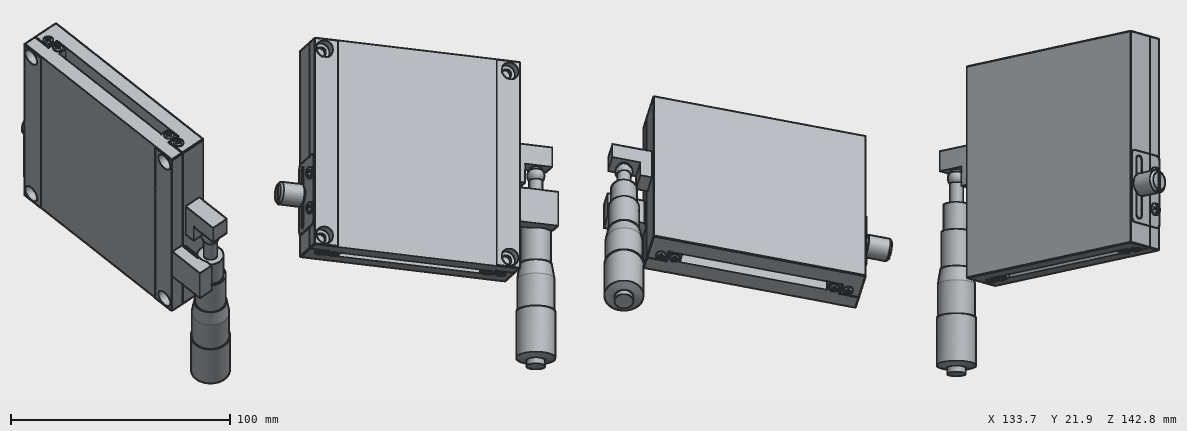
import cadquery as cq
import math


STAGE_SIZE = 100.0
STAGE_THICKNESS = 20.0
HALF = STAGE_SIZE / 2
EDGE_CHAMFER = 0.4

FRONT_LEDGE_Y = 6.5
FRONT_MIDDLE_Y = 7.7
FACE_RECESS = 0.4
FACE_RECESS_HALF = 38.5
RAIL_OUTER_X = 40.4
RAIL_INNER_X = 34.5
RAIL_TOP_Y = 12.0
BOLT_PITCH = 90.0
BOLT_HOLE_DIAMETER = 4.5
COUNTERBORE_DIAMETER = 8.0
COUNTERBORE_DEPTH = 4.7

LEG_BOTTOM_Y = 7.0
LEG_INNER_X = 41.1
CHANNEL_TOP_Y = 12.5

SCREW_RIM_SHARE = 0.3

END_SCREW_DIAMETER = 4.5
END_SCREW_HEIGHT = 1.1
END_SCREW_CROSS = (2.5, 0.7, 0.5)
END_SCREW_Y = 9.7
LEG_SCREW_X = 44.0
RAIL_SCREW_X = (RAIL_OUTER_X + RAIL_INNER_X) / 2

LOCK_PLATE_THICKNESS = 0.5
LOCK_PLATE_WIDTH = 18.8
LOCK_PLATE_LENGTH = 34.0
LOCK_PLATE_RADIUS = 1.9
LOCK_PLATE_Y = 10.0
LOCK_PLATE_Z = -22.8
LOCK_PLATE_FACE_X = -HALF - LOCK_PLATE_THICKNESS
LOCK_SLOT_WIDTH = 3.5
LOCK_SLOT_LENGTH = 29.7
LOCK_SCREW_DIAMETER = 5.5
LOCK_SCREW_HEIGHT = 2.0
LOCK_SCREW_CROSS = (4.0, 1.0, 1.0)
LOCK_SCREW_Y = 3.9
LOCK_SCREW_PITCH = 17.0

KNOB_Y = 14.5
KNOB_Z = -22.0
KNOB_STUD_DIAMETER = 3.0
KNOB_NECK_DIAMETER = 8.0
KNOB_NECK_LENGTH = 1.07
KNOB_DIAMETER = 10.5
KNOB_LENGTH = 11.0
KNOB_CHAMFER = 1.1
KNOB_SLOT_WIDTH = 1.3
KNOB_SLOT_DEPTH = 0.9

ARM_END_X = 68.5
ANVIL_FRONT_Y = 8.5
ANVIL_BACK_Y = 17.1
ANVIL_TOP_Z = 13.5
ANVIL_BOTTOM_Z = 4.1
ANVIL_FOOT_X = 55.4
ANVIL_FOOT_BOTTOM_Z = -5.0
HOLDER_FRONT_Y = 0.4
HOLDER_BACK_Y = FRONT_MIDDLE_Y
HOLDER_STEP_Y = 6.4
HOLDER_STEP_DEPTH = 0.4
HOLDER_STEP_END_X = 60.7
HOLDER_TOP_Z = -10.5
HOLDER_BOTTOM_Z = -27.0
HOLDER_GAP = 0.5
HOLDER_GAP_CHAMFER = 0.7

MICROMETER_X = 62.1
MICROMETER_Y = 12.9
TIP_DIAMETER = 5.1
BALL_DIAMETER = 8.0
BALL_Z = 0.4
BALL_TOP_Z = 3.0
SPINDLE_DIAMETER = 6.3
COLLAR_DIAMETER = 12.0
COLLAR_TOP_Z = -12.1
SLEEVE_DIAMETER = 14.0
SLEEVE_TOP_Z = -25.0
CONE_TOP_DIAMETER = 14.9
CONE_TOP_Z = -42.4
BARREL_DIAMETER = 17.1
BARREL_TOP_Z = -49.4
THIMBLE_DIAMETER = 18.0
THIMBLE_TOP_Z = -65.3
THIMBLE_BOTTOM_Z = -87.7
END_CONE_BOTTOM_DIAMETER = 10.0
END_CONE_BOTTOM_Z = -88.8
BUTTON_DIAMETER = 8.5
BUTTON_BOTTOM_Z = -91.7


def block(x_min, x_max, y_min, y_max, z_min, z_max):
    """Box between the given limits."""
    size = (x_max - x_min, y_max - y_min, z_max - z_min)
    return cq.Workplane("XY").box(*size, centered=False).translate((x_min, y_min, z_min))


def stage_plate(y_min, y_max, inner_face):
    """Square plate of the full stage size, chamfered on all edges but those of its inner face."""
    plate = block(-HALF, HALF, y_min, y_max, -HALF, HALF)
    return plate.edges(f"not {inner_face}").chamfer(EDGE_CHAMFER)


def cylinder_up(diameter, z_min, z_max):
    """Vertical cylinder on the micrometer axis."""
    base = cq.Workplane("XY", origin=(MICROMETER_X, MICROMETER_Y, z_min))
    return base.circle(diameter / 2).extrude(z_max - z_min)


def cross_screw_head(diameter, height, cross):
    """Domed screw head standing on Z = 0, as high as the inner corners of its cross recess."""
    span, width, depth = cross
    radius = diameter / 2
    rim = height * SCREW_RIM_SHARE
    corner_radius = width / math.sqrt(2)
    center_z = (corner_radius**2 + height**2 - radius**2 - rim**2) / (2 * (height - rim))
    dome_radius = math.hypot(radius, rim - center_z)
    middle_z = center_z + math.sqrt(dome_radius**2 - (radius / 2) ** 2)
    apex_z = center_z + dome_radius
    head = (
        cq.Workplane("XZ")
        .lineTo(radius, 0)
        .lineTo(radius, rim)
        .threePointArc((radius / 2, middle_z), (0, apex_z))
        .close()
        .revolve(360, (0, 0, 0), (0, 1, 0))
    )
    recess = cq.Workplane("XY").workplane(offset=height - depth).rect(span, width).extrude(height)
    return head.cut(recess).cut(recess.rotate((0, 0, 0), (0, 0, 1), 90))


def end_screws(x):
    """The four screws at +-x on the two Z ends of the stage."""
    head = cross_screw_head(END_SCREW_DIAMETER, END_SCREW_HEIGHT, END_SCREW_CROSS)
    screws = cq.Workplane("XY")
    for screw_x in (-x, x):
        for tilt, z in ((0, HALF), (180, -HALF)):
            turned = head.rotate((0, 0, 0), (1, 0, 0), tilt)
            screws = screws.add(turned.translate((screw_x, END_SCREW_Y, z)))
    return screws


def add_all(body, parts):
    """Join every solid in parts to the body."""
    for part in parts.vals():
        body = body.union(cq.Workplane(part))
    return body


def lock_plate():
    """Slotted plate on the -X side, screwed to the front slide."""
    face = cq.Workplane("YZ", origin=(LOCK_PLATE_FACE_X, LOCK_PLATE_Y, LOCK_PLATE_Z))
    plate = face.rect(LOCK_PLATE_WIDTH, LOCK_PLATE_LENGTH).extrude(LOCK_PLATE_THICKNESS)
    plate = plate.edges("|X").fillet(LOCK_PLATE_RADIUS)
    slot = (
        cq.Workplane("YZ", origin=(LOCK_PLATE_FACE_X, KNOB_Y, LOCK_PLATE_Z))
        .slot2D(LOCK_SLOT_LENGTH, LOCK_SLOT_WIDTH, 90)
        .extrude(LOCK_PLATE_THICKNESS)
    )
    plate = plate.cut(slot)
    head = cross_screw_head(LOCK_SCREW_DIAMETER, LOCK_SCREW_HEIGHT, LOCK_SCREW_CROSS)
    head = head.rotate((0, 0, 0), (0, 1, 0), -90)
    for side in (-1, 1):
        z = LOCK_PLATE_Z + side * LOCK_SCREW_PITCH / 2
        plate = plate.union(head.translate((LOCK_PLATE_FACE_X, LOCK_SCREW_Y, z)))
    return plate


def micrometer_holder():
    """Arm on the +X side of the front slide, bored to fit the micrometer."""
    root_x = HALF - EDGE_CHAMFER
    holder = block(root_x, ARM_END_X, HOLDER_FRONT_Y, HOLDER_BACK_Y, HOLDER_BOTTOM_Z, HOLDER_TOP_Z)
    gap_x = HALF + HOLDER_GAP
    slit = (
        cq.Workplane("XY", origin=(0, 0, HOLDER_BOTTOM_Z))
        .moveTo(root_x, HOLDER_STEP_Y)
        .lineTo(gap_x, HOLDER_STEP_Y)
        .lineTo(gap_x, HOLDER_BACK_Y - HOLDER_GAP_CHAMFER)
        .lineTo(gap_x + HOLDER_GAP_CHAMFER, HOLDER_BACK_Y)
        .lineTo(root_x, HOLDER_BACK_Y)
        .close()
        .extrude(HOLDER_TOP_Z - HOLDER_BOTTOM_Z)
    )
    step = block(
        HALF, HOLDER_STEP_END_X, HOLDER_STEP_Y, HOLDER_BACK_Y, HOLDER_TOP_Z - HOLDER_STEP_DEPTH, HOLDER_TOP_Z
    )
    bore = cylinder_up(COLLAR_DIAMETER, SLEEVE_TOP_Z, HOLDER_TOP_Z)
    sleeve_bore = cylinder_up(SLEEVE_DIAMETER, HOLDER_BOTTOM_Z, SLEEVE_TOP_Z)
    return holder.cut(slit).cut(step).cut(bore).cut(sleeve_bore)


def make_front_slide():
    """Front plate with rails, bolt holes, micrometer holder and lock plate."""
    slide = stage_plate(0, FRONT_LEDGE_Y, ">Y")
    slide = slide.union(block(-RAIL_OUTER_X, RAIL_OUTER_X, FACE_RECESS, FRONT_MIDDLE_Y, -HALF, HALF))
    for x_min in (-RAIL_OUTER_X, RAIL_INNER_X):
        x_max = x_min + RAIL_OUTER_X - RAIL_INNER_X
        slide = slide.union(block(x_min, x_max, FACE_RECESS, RAIL_TOP_Y, -HALF, HALF))
    slide = slide.cut(block(-FACE_RECESS_HALF, FACE_RECESS_HALF, 0, FACE_RECESS, -HALF, HALF))
    bolt_face = cq.Workplane("XZ").rect(BOLT_PITCH, BOLT_PITCH, forConstruction=True).vertices()
    slide = slide.cut(bolt_face.circle(BOLT_HOLE_DIAMETER / 2).extrude(-FRONT_LEDGE_Y))
    slide = slide.cut(bolt_face.circle(COUNTERBORE_DIAMETER / 2).extrude(-COUNTERBORE_DEPTH))
    slide = slide.union(micrometer_holder()).union(lock_plate())
    return add_all(slide, end_screws(RAIL_SCREW_X))


def knob_disc(diameter, x_min, x_max):
    """Cylinder on the axis of the lock knob."""
    base = cq.Workplane("YZ", origin=(x_min, KNOB_Y, KNOB_Z))
    return base.circle(diameter / 2).extrude(x_max - x_min)


def lock_knob():
    """Slotted knob whose stud reaches through the lock plate to the back slide."""
    neck_end = LOCK_PLATE_FACE_X - KNOB_NECK_LENGTH
    knob_end = neck_end - KNOB_LENGTH
    grip = knob_disc(KNOB_DIAMETER, knob_end, neck_end).faces("<X").chamfer(KNOB_CHAMFER)
    slot = block(
        knob_end, knob_end + KNOB_SLOT_DEPTH,
        KNOB_Y - KNOB_SLOT_WIDTH / 2, KNOB_Y + KNOB_SLOT_WIDTH / 2,
        KNOB_Z - KNOB_DIAMETER / 2, KNOB_Z + KNOB_DIAMETER / 2,
    )
    neck = knob_disc(KNOB_NECK_DIAMETER, neck_end, LOCK_PLATE_FACE_X)
    stud = knob_disc(KNOB_STUD_DIAMETER, LOCK_PLATE_FACE_X, -HALF)
    return grip.cut(slot).union(neck).union(stud)


def anvil():
    """L-shaped arm on the +X side that the micrometer tip pushes against."""
    root_x = HALF - EDGE_CHAMFER
    arm = block(root_x, ARM_END_X, ANVIL_FRONT_Y, ANVIL_BACK_Y, ANVIL_BOTTOM_Z, ANVIL_TOP_Z)
    foot = block(root_x, ANVIL_FOOT_X, ANVIL_FRONT_Y, ANVIL_BACK_Y, ANVIL_FOOT_BOTTOM_Z, ANVIL_BOTTOM_Z)
    return arm.union(foot)


def make_back_slide():
    """Channel-shaped back plate with the anvil and the lock knob."""
    slide = stage_plate(LEG_BOTTOM_Y, STAGE_THICKNESS, "<Y")
    slide = slide.cut(block(-LEG_INNER_X, LEG_INNER_X, LEG_BOTTOM_Y, CHANNEL_TOP_Y, -HALF, HALF))
    slide = slide.union(anvil()).union(lock_knob())
    return add_all(slide, end_screws(LEG_SCREW_X))


def make_micrometer():
    """Micrometer turned about its vertical axis."""
    ball = cq.Workplane("XY").sphere(BALL_DIAMETER / 2).translate((MICROMETER_X, MICROMETER_Y, BALL_Z))
    ball = ball.intersect(cylinder_up(BALL_DIAMETER, BALL_Z - BALL_DIAMETER, BALL_TOP_Z))
    turned_profile = [
        (SPINDLE_DIAMETER, BALL_Z),
        (SPINDLE_DIAMETER, COLLAR_TOP_Z),
        (COLLAR_DIAMETER, COLLAR_TOP_Z),
        (COLLAR_DIAMETER, SLEEVE_TOP_Z),
        (SLEEVE_DIAMETER, SLEEVE_TOP_Z),
        (SLEEVE_DIAMETER, CONE_TOP_Z),
        (CONE_TOP_DIAMETER, CONE_TOP_Z),
        (BARREL_DIAMETER, BARREL_TOP_Z),
        (BARREL_DIAMETER, THIMBLE_TOP_Z),
        (THIMBLE_DIAMETER, THIMBLE_TOP_Z),
        (THIMBLE_DIAMETER, THIMBLE_BOTTOM_Z),
        (END_CONE_BOTTOM_DIAMETER, END_CONE_BOTTOM_Z),
        (BUTTON_DIAMETER, END_CONE_BOTTOM_Z),
        (BUTTON_DIAMETER, BUTTON_BOTTOM_Z),
    ]
    outline = [(diameter / 2, z) for diameter, z in turned_profile]
    turned = (
        cq.Workplane("XZ")
        .polyline([(0, BALL_Z)] + outline + [(0, BUTTON_BOTTOM_Z)])
        .close()
        .revolve(360, (0, 0, 0), (0, 1, 0))
        .translate((MICROMETER_X, MICROMETER_Y, 0))
    )
    tip = cylinder_up(TIP_DIAMETER, BALL_Z, ANVIL_BOTTOM_Z)
    return turned.union(ball).union(tip)


front_slide = make_front_slide()
back_slide = make_back_slide()
micrometer = make_micrometer()

result = cq.Compound.makeCompound([front_slide.val(), back_slide.val(), micrometer.val()])